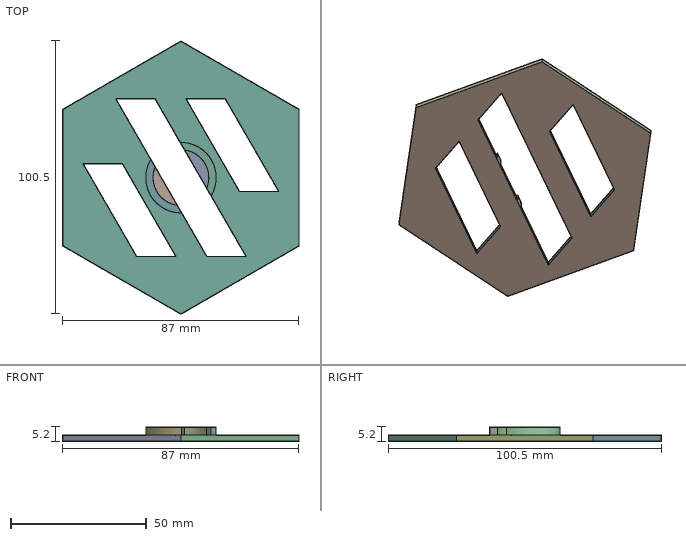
import cadquery as cq
import math

corner_diameter = 100.5
plate_thickness = 2.2

total_height = 5.2
collar_outer_radius = 13.0
collar_inner_radius = 10.2

slot_lean = math.radians(30)
slot_width = 14.4
slot_end_y = 28.9
side_slot_inner_y = -5.0
side_slot_offset = 25.8


def slot_cutter(offset_x, bottom_y, top_y):
    """Parallelogram prism whose centreline crosses Y = 0 at offset_x."""

    def centre_x(y):
        return offset_x - y * math.tan(slot_lean)

    half_width = slot_width / 2
    corners = [
        (centre_x(bottom_y) - half_width, bottom_y),
        (centre_x(bottom_y) + half_width, bottom_y),
        (centre_x(top_y) + half_width, top_y),
        (centre_x(top_y) - half_width, top_y),
    ]
    return cq.Workplane("XY").polyline(corners).close().extrude(total_height)


plate = (
    cq.Workplane("XY")
    .transformed(rotate=(0, 0, 90))
    .polygon(6, corner_diameter)
    .extrude(plate_thickness)
)

collar = (
    cq.Workplane("XY")
    .circle(collar_outer_radius)
    .circle(collar_inner_radius)
    .extrude(total_height)
)

middle_slot = slot_cutter(0, -slot_end_y, slot_end_y)
right_slot = slot_cutter(side_slot_offset, side_slot_inner_y, slot_end_y)
left_slot = right_slot.rotate((0, 0, 0), (0, 0, 1), 180)

result = plate.union(collar)
for slot in (middle_slot, right_slot, left_slot):
    result = result.cut(slot)